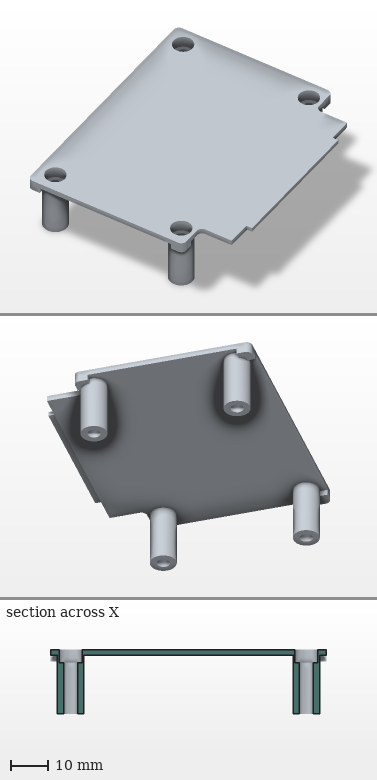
import cadquery as cq

total_length = 61.3
plate_width = 73.8
plate_thickness = 1.6
main_length = 49.5
extension_end = 59.5
extension_width = 57.0
corner_radius = 1.6
lip_width = 42.6
lip_thickness = 1.2

total_height = 17.2
post_diameter = 7.2
post_hole_diameter = 3.6
counterbore_diameter = 6.0
counterbore_depth = 3.4
post_inset = 5.4
post_pitch_x = 40.0
post_pitch_y = plate_width - 2 * post_inset

pad_size = 3.9
pad_thickness = 1.6

plate_bottom = -plate_thickness
post_bottom = -total_height
post_centers = [
    (x, y)
    for x in (post_inset, post_inset + post_pitch_x)
    for y in (-post_pitch_y / 2, post_pitch_y / 2)
]


def slab(x_start, x_end, width, top, thickness):
    """Rectangular slab centred on Y = 0, hanging down from the height `top`."""
    return (
        cq.Workplane("XY")
        .workplane(offset=top)
        .center((x_start + x_end) / 2, 0)
        .rect(x_end - x_start, width)
        .extrude(-thickness)
    )


def post_cylinders(diameter, top, bottom):
    """One vertical cylinder at each post centre."""
    return (
        cq.Workplane("XY")
        .workplane(offset=bottom)
        .pushPoints(post_centers)
        .circle(diameter / 2)
        .extrude(top - bottom)
    )


def make_plate():
    """Plate with rounded outer corners, rounded inner corners and the end lip."""
    main = slab(0, main_length, plate_width, 0, plate_thickness)
    main = main.edges("|Z").fillet(corner_radius)
    extension = slab(main_length / 2, extension_end, extension_width, 0, plate_thickness)
    inner_corner_area = cq.selectors.BoxSelector(
        (main_length - corner_radius / 2, -plate_width, -total_height),
        (main_length + corner_radius / 2, plate_width, total_height),
    )
    plate = main.union(extension).edges("|Z").edges(inner_corner_area).fillet(corner_radius)
    lip = slab(main_length, total_length, lip_width, 0, lip_thickness)
    return plate.union(lip)


def make_pads():
    """Corner pads that follow the rounded outline of the main panel."""
    footprint = slab(0, main_length, plate_width, plate_bottom, pad_thickness)
    footprint = footprint.edges("|Z").fillet(corner_radius)
    gap_width = plate_width - 2 * pad_size
    gap_along_x = slab(pad_size, main_length - pad_size, plate_width, plate_bottom, pad_thickness)
    gap_along_y = slab(0, main_length, gap_width, plate_bottom, pad_thickness)
    return footprint.cut(gap_along_x).cut(gap_along_y)


posts = post_cylinders(post_diameter, plate_bottom, post_bottom)
post_holes = post_cylinders(post_hole_diameter, 0, post_bottom)
counterbores = post_cylinders(counterbore_diameter, 0, -counterbore_depth)

result = make_plate().union(make_pads()).union(posts).cut(post_holes).cut(counterbores)